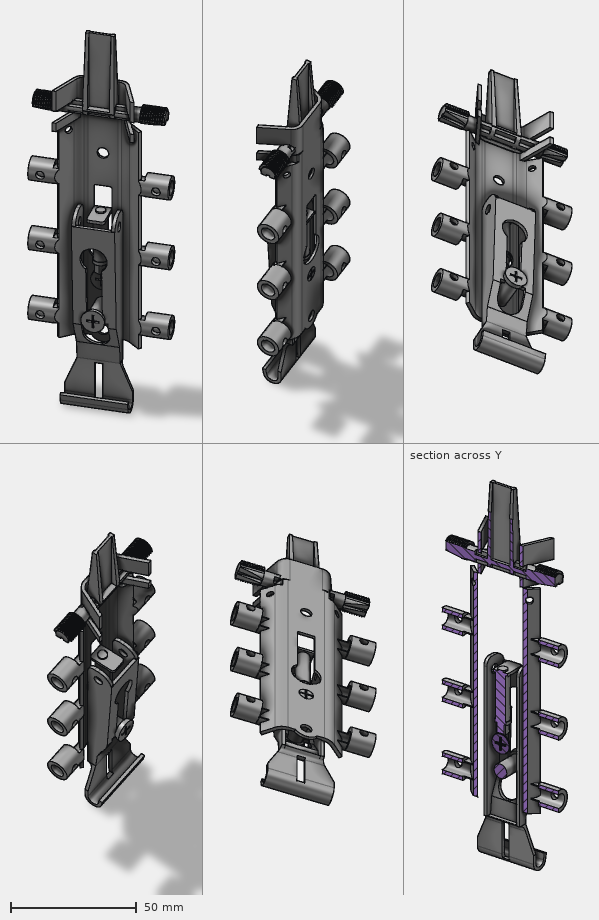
import cadquery as cq
import math

SHEET = 1.5
BACK_Y = 7.2
BACK_INNER_Y = BACK_Y - SHEET

CHANNEL_BOTTOM = -56.6
CHANNEL_TOP = 42.8
FLAT_HALF = 7.8
BEND_RADIUS = 7.2
BEND_ANGLE = 41.0
CHANNEL_HALF = 17.4
GROOVE_DEPTH = 0.3
GROOVE_FLOOR_Y = BACK_INNER_Y + GROOVE_DEPTH
GROOVE_FLOOR_HALF = 6.2
GROOVE_MOUTH_HALF = 7.8

CLIP_TOP = 61.4
CLIP_FRONT_Y = -8.3
CLIP_FLAT_HALF = 6.9
CLIP_NECK_HALF = 9.8
CLIP_ARM_BACK = 2.4
CLIP_BEND_RADIUS = 4.9
CLIP_BEND_ANGLE = 66.0
CLIP_SLOT_BOTTOM = 46.7
CLIP_SLOT_TOP = 52.1

HANG_HOLE_D = 4.7
HANG_HOLE_Z = 27.5
LUG_HOLE_Z = -53.6
LUG_RADIUS = 5.5
LEG_HOLE_D = 3.0
LEG_HOLE_Z = 37.8
LEG_HOLE_Y = 3.7
WINDOW_HALF = 3.7
WINDOW_TOP = 12.5
WINDOW_CORNER = 0.8
PASS_HOLE_D = 12.5
PASS_HOLE_Z = -15.8

SOCKET_Y = 3.7
SOCKET_D = 9.8
SOCKET_NECK_HALF = 3.5
SOCKET_NECK_BACK_Y = 3.7
SOCKET_ROOT = 13.5
SOCKET_BORE_D = 6.0
SOCKET_END = 29.0
SOCKET_SHOULDER = 18.9
SOCKET_PIN_D = 3.5
SOCKET_PIN_X = 24.0
SOCKET_TOP_Z = 17.4
SOCKET_PITCH = 32.0
SOCKET_ROWS = 3

AXIS_Y = 2.7
AXIS_Z = 49.5
BAR_D = 6.0
BAR_ROUND_START = 12.6
BAR_ARM = 2.0
KNOB_START = 17.2
KNOB_END = 27.3
KNOB_CORE_D = 6.5
RIDGE_D = 8.6
RIDGE_INSET = 0.2
RIDGE_WIDTH = 0.25
RIDGE_PITCH = 1.0
RIDGE_COUNT = 10
JAW_OUTER_DROP = 1.5
JAW_INNER_DROP = 3.0
JAW_GROOVE = 1.3
JAW_ROOF = 0.8
GRIP_TOP = 84.3
GRIP_TOP_HALF_X = 5.9
GRIP_TOP_HALF_Y = 1.0
GRIP_HALF_X = 6.5
GRIP_FLOOR = 1.0
GRIP_POCKET_HALF = 4.5
GRIP_HALF_Y = 3.4
GRIP_WEB = 1.2

LEVER_HALF = 9.0
LEVER_BACK_Y = 3.7
PIVOT_Y = -1.5
PIVOT_Z = -0.8
PIVOT_D = 4.0
HEAD_Y = -1.5
HEAD_Z = -1.2
HEAD_RADIUS = 6.5
HEAD_BACK_RADIUS = 3.4
WEB_TOP = 0.3
WEB_FRONT_Y = -8.3
KNEE_Y = -5.9
KNEE_Z = -45.5
FOOT_Y = -1.0
FOOT_Z = -56.5
PLATE_FRONT_Y = -0.25
PLATE_BACK_Y = PLATE_FRONT_Y + SHEET
FLANGE_END = -64.2
FLARE_RADIUS = 2.5
KEYHOLE_D = 11.1
KEYHOLE_Z = -14.5
KEYHOLE_SLOT = 6.5
OPENING_TOP = -43.5
OPENING_CENTER_Z = -50.7
HOOK_HALF = 14.0
HOOK_RADIUS = 4.0
HOOK_TOTAL_BOTTOM = -84.3
HOOK_WIDE_Z = -76.4
HOOK_TIP = 2.7
HOOK_LEAN = 11.0
HOOK_SLOT = 3.4
HOOK_SLOT_TOP = -65.5
HOOK_SLOT_BOTTOM = -82.1

ROD_Y = 3.0
ROD_D = 6.0
ROD_BOTTOM = -19.2
COLLAR_D = 6.5
COLLAR_BOTTOM = -20.7
HEX_FLATS = 4.5
HEX_BOTTOM = -25.1
YOKE_TOP = 2.5
YOKE_THICK = 1.3
YOKE_HALF = 3.7
YOKE_BACK_Y = 6.7
YOKE_FRONT_Y = -5.2
YOKE_CORNER = 1.3
STUB_D = 4.0
STUB_HEIGHT = 0.7

CROSS_WIDTH = 5.0
CROSS_HEIGHT = 5.5
CROSS_SLOT = 0.7
LOCK_Z = -41.8
LOCK_FRONT_Y = -8.6
LOCK_HEAD_Y = -6.4
LOCK_HEAD_D = 9.8
LOCK_UNDER_D = 9.0
LOCK_SHANK_D = 6.5
CROSS_DEPTH = 1.3
ANCHOR_Z = -29.7
ANCHOR_HEAD_D = 9.0
ANCHOR_SHANK_D = 6.0
ANCHOR_HEAD_HEIGHT = 2.0


def box(x0, x1, y0, y1, z0, z1):
    """Axis-aligned block between two corners."""
    return cq.Workplane("XY").box(x1 - x0, y1 - y0, z1 - z0, centered=False).translate((x0, y0, z0))


def cylinder_x(diameter, x0, x1, y, z):
    return cq.Workplane("YZ").center(y, z).circle(diameter / 2).extrude(x1 - x0).translate((x0, 0, 0))


def cylinder_y(diameter, y0, y1, z, x=0):
    """Round bar along Y from y0 to y1."""
    return cq.Workplane("XZ").center(x, z).circle(diameter / 2).extrude(y0 - y1).translate((0, y0, 0))


def cylinder_z(diameter, z0, z1, y):
    return cq.Workplane("XY").center(0, y).circle(diameter / 2).extrude(z1 - z0).translate((0, 0, z0))


def bend_points(flat_half, radius, angle, leg, inset):
    """Start, middle and end of one bend, and the leg end, at a depth below the rear face."""
    turn = math.radians(angle)
    arc = radius - inset

    def on_bend(a):
        return (flat_half + arc * math.sin(a), BACK_Y - radius + arc * math.cos(a))

    end = on_bend(turn)
    tip = (end[0] + leg * math.cos(turn), end[1] - leg * math.sin(turn))
    return on_bend(0), on_bend(turn / 2), end, tip


def bent_sheet(flat_half, radius, angle, leg, z0, z1):
    """Open channel: flat back, two bends and two straight legs, running along Z."""
    start, mid, end, tip = bend_points(flat_half, radius, angle, leg, 0)
    in_start, in_mid, in_end, in_tip = bend_points(flat_half, radius, angle, leg, SHEET)

    def left(p):
        return (-p[0], p[1])

    section = (
        cq.Workplane("XY").workplane(offset=z0)
        .moveTo(*left(start)).lineTo(*start)
        .threePointArc(mid, end).lineTo(*tip).lineTo(*in_tip).lineTo(*in_end)
        .threePointArc(in_mid, in_start).lineTo(*left(in_start))
        .threePointArc(left(in_mid), left(in_end))
        .lineTo(*left(in_tip)).lineTo(*left(tip)).lineTo(*left(end))
        .threePointArc(left(mid), left(start)).close()
    )
    return section.extrude(z1 - z0)


CHANNEL_LEG = (CHANNEL_HALF - FLAT_HALF - BEND_RADIUS * math.sin(math.radians(BEND_ANGLE))) / math.cos(
    math.radians(BEND_ANGLE))


CLIP_LEG = 20.2


def make_clip():
    """Steeper extension of the channel: a bent upper part and two flat arms below a snap-in slot."""
    sheet = bent_sheet(CLIP_FLAT_HALF, CLIP_BEND_RADIUS, CLIP_BEND_ANGLE, CLIP_LEG, CLIP_SLOT_BOTTOM, CLIP_TOP)
    neck = bent_sheet(FLAT_HALF, BEND_RADIUS, BEND_ANGLE, CHANNEL_LEG, CHANNEL_TOP, CLIP_SLOT_BOTTOM)
    neck = neck.intersect(box(-CLIP_NECK_HALF, CLIP_NECK_HALF, 0, BACK_Y, CHANNEL_TOP, CLIP_SLOT_BOTTOM))
    sheet = sheet.union(neck)

    turn = math.radians(CLIP_BEND_ANGLE)
    back_x = CLIP_ARM_BACK * math.cos(turn)
    back_y = CLIP_ARM_BACK * math.sin(turn)
    _, _, end, tip = bend_points(CLIP_FLAT_HALF, CLIP_BEND_RADIUS, CLIP_BEND_ANGLE, CLIP_LEG, 0)
    _, _, in_end, in_tip = bend_points(CLIP_FLAT_HALF, CLIP_BEND_RADIUS, CLIP_BEND_ANGLE, CLIP_LEG, SHEET)
    arm = (
        cq.Workplane("XY").workplane(offset=CHANNEL_TOP)
        .polyline([(end[0] - back_x, end[1] + back_y), tip, in_tip, (in_end[0] - back_x, in_end[1] + back_y)])
        .close().extrude(CLIP_SLOT_BOTTOM - CHANNEL_TOP)
    )
    sheet = sheet.union(arm).union(arm.mirror("YZ"))
    sheet = sheet.intersect(box(-33.7, 33.7, CLIP_FRONT_Y, BACK_Y, CHANNEL_TOP, CLIP_TOP))
    sheet = sheet.cut(cylinder_x(BAR_D, -33.7, 33.7, AXIS_Y, AXIS_Z))
    return sheet.cut(box(-33.7, 33.7, CLIP_FRONT_Y, AXIS_Y, CLIP_SLOT_BOTTOM, CLIP_SLOT_TOP))


def make_socket(side, z):
    """Tube whose narrowed neck runs into the leg and ends at the inner plane of the leg."""
    socket = cylinder_x(SOCKET_D, SOCKET_ROOT, SOCKET_END, SOCKET_Y, z)
    socket = socket.cut(cylinder_x(SOCKET_BORE_D, SOCKET_ROOT, SOCKET_END, SOCKET_Y, z))
    socket = socket.cut(cylinder_y(SOCKET_PIN_D, -16.9, 16.9, z, SOCKET_PIN_X))
    neck_space = box(0, SOCKET_SHOULDER, -16.9, SOCKET_NECK_BACK_Y, z - SOCKET_NECK_HALF, z + SOCKET_NECK_HALF)
    socket = socket.cut(box(0, SOCKET_SHOULDER, -16.9, 16.9, z - SOCKET_D, z + SOCKET_D).cut(neck_space))
    _, _, in_end, in_tip = bend_points(FLAT_HALF, BEND_RADIUS, BEND_ANGLE, 2 * CHANNEL_LEG, SHEET)
    inside = (
        cq.Workplane("XY").workplane(offset=z - SOCKET_D)
        .polyline([(0, BACK_Y), (FLAT_HALF, BACK_Y), in_end, in_tip, (0, in_tip[1])])
        .close().extrude(2 * SOCKET_D)
    )
    socket = socket.cut(inside)
    return socket if side > 0 else socket.mirror("YZ")


def make_channel():
    channel = bent_sheet(FLAT_HALF, BEND_RADIUS, BEND_ANGLE, CHANNEL_LEG, CHANNEL_BOTTOM, CHANNEL_TOP)
    channel = channel.union(make_clip())
    channel = channel.union(cylinder_y(2 * LUG_RADIUS, BACK_INNER_Y, BACK_Y, LUG_HOLE_Z))
    groove = (
        cq.Workplane("XY").workplane(offset=LUG_HOLE_Z - LUG_RADIUS)
        .polyline([(-GROOVE_MOUTH_HALF, BACK_INNER_Y), (-GROOVE_FLOOR_HALF, GROOVE_FLOOR_Y),
                   (GROOVE_FLOOR_HALF, GROOVE_FLOOR_Y), (GROOVE_MOUTH_HALF, BACK_INNER_Y)])
        .close().extrude(CLIP_SLOT_BOTTOM - LUG_HOLE_Z + LUG_RADIUS)
    )
    channel = channel.cut(groove)
    for z in (HANG_HOLE_Z, LUG_HOLE_Z):
        channel = channel.cut(cylinder_y(HANG_HOLE_D, 0, 16.9, z))
    window = box(-WINDOW_HALF, WINDOW_HALF, 0, 16.9, PASS_HOLE_Z, WINDOW_TOP).edges("|Y").fillet(WINDOW_CORNER)
    channel = channel.cut(window).cut(cylinder_y(PASS_HOLE_D, 0, 16.9, PASS_HOLE_Z))
    channel = channel.cut(cylinder_y(ANCHOR_SHANK_D, 0, 16.9, ANCHOR_Z))
    hole_x = CHANNEL_HALF - (LEG_HOLE_Y - 0.7) / math.tan(math.radians(BEND_ANGLE))
    for side in (-1, 1):
        turn = math.radians(BEND_ANGLE)
        drill = cq.Workplane(cq.Plane((side * hole_x, LEG_HOLE_Y, LEG_HOLE_Z), (0, 0, 1),
                                      (side * math.sin(turn), math.cos(turn), 0)))
        channel = channel.cut(drill.circle(LEG_HOLE_D / 2).extrude(3.4, both=True))
        for row in range(SOCKET_ROWS):
            channel = channel.union(make_socket(side, SOCKET_TOP_Z - row * SOCKET_PITCH))
    return channel


def make_knob():
    core = cylinder_x(KNOB_CORE_D, KNOB_START, KNOB_END, AXIS_Y, AXIS_Z)
    for i in range(RIDGE_COUNT):
        x = KNOB_START + RIDGE_INSET + i * RIDGE_PITCH
        core = core.union(cylinder_x(RIDGE_D, x, x + RIDGE_WIDTH, AXIS_Y, AXIS_Z))
    core = core.intersect(box(0, 33.7, -16.9, 16.9, AXIS_Z, 67.5))
    half = BAR_D / 2
    jaw = (
        cq.Workplane("XZ")
        .polyline([(KNOB_START, AXIS_Z), (KNOB_END, AXIS_Z), (KNOB_END, AXIS_Z - JAW_OUTER_DROP),
                   (KNOB_START, AXIS_Z - JAW_INNER_DROP)])
        .close().extrude(-2 * half).translate((0, AXIS_Y - half, 0))
    )
    jaw = jaw.intersect(cylinder_x(KNOB_CORE_D, KNOB_START, KNOB_END, AXIS_Y, AXIS_Z))
    jaw = jaw.cut(box(KNOB_START, KNOB_END, AXIS_Y - JAW_GROOVE / 2, AXIS_Y + JAW_GROOVE / 2,
                      AXIS_Z - JAW_INNER_DROP, AXIS_Z - JAW_ROOF))
    return core.union(jaw)


def make_handle():
    bar = cylinder_x(BAR_D, -KNOB_START, KNOB_START, AXIS_Y, AXIS_Z)
    arms = box(-33.7, 33.7, AXIS_Y - BAR_ARM / 2, AXIS_Y + BAR_ARM / 2, 0, 67.5)
    arms = arms.union(box(-33.7, 33.7, -16.9, 16.9, AXIS_Z - BAR_ARM / 2, AXIS_Z + BAR_ARM / 2))
    for x0, x1 in ((-BAR_ROUND_START, -GRIP_HALF_X), (-GRIP_POCKET_HALF, GRIP_POCKET_HALF),
                   (GRIP_HALF_X, BAR_ROUND_START)):
        bar = bar.cut(box(x0, x1, -16.9, 16.9, 0, 67.5).cut(arms))
    grip = (
        cq.Workplane("XY").workplane(offset=AXIS_Z).center(0, AXIS_Y).rect(2 * GRIP_HALF_X, 2 * GRIP_HALF_Y)
        .workplane(offset=GRIP_TOP - AXIS_Z).rect(2 * GRIP_TOP_HALF_X, 2 * GRIP_TOP_HALF_Y)
        .loft(ruled=True)
    )
    grip = grip.intersect(box(-33.7, 33.7, -16.9, BACK_INNER_Y, 0, GRIP_TOP))
    handle = bar.union(grip)
    web = box(-33.7, 33.7, AXIS_Y - GRIP_WEB / 2, AXIS_Y + GRIP_WEB / 2, 0, GRIP_TOP)
    pockets = box(-GRIP_POCKET_HALF, GRIP_POCKET_HALF, -16.9, 16.9, AXIS_Z + GRIP_FLOOR, GRIP_TOP).cut(web)
    knob = make_knob()
    return handle.cut(pockets).union(knob).union(knob.mirror("YZ"))


def lever_block(half):
    head_end_y = HEAD_Y - math.sqrt(HEAD_RADIUS**2 - (WEB_TOP - HEAD_Z) ** 2)
    top_z = HEAD_Z + HEAD_RADIUS
    slant = math.sqrt(0.5)
    outline = (
        cq.Workplane("YZ")
        .moveTo(LEVER_BACK_Y, FLANGE_END).lineTo(LEVER_BACK_Y, top_z - HEAD_BACK_RADIUS)
        .threePointArc((LEVER_BACK_Y - HEAD_BACK_RADIUS * (1 - slant), top_z - HEAD_BACK_RADIUS * (1 - slant)),
                       (LEVER_BACK_Y - HEAD_BACK_RADIUS, top_z))
        .lineTo(HEAD_Y, top_z)
        .threePointArc((HEAD_Y - HEAD_RADIUS * slant, HEAD_Z + HEAD_RADIUS * slant), (head_end_y, WEB_TOP))
        .lineTo(WEB_FRONT_Y, WEB_TOP)
        .lineTo(KNEE_Y, KNEE_Z).lineTo(FOOT_Y, FOOT_Z).lineTo(PLATE_FRONT_Y, FLANGE_END).close()
    )
    return outline.extrude(half, both=True)


def make_hook():
    cy = PLATE_BACK_Y - HOOK_RADIUS
    cz = HOOK_TOTAL_BOTTOM + HOOK_RADIUS
    lean = math.radians(HOOK_LEAN)
    inner = HOOK_RADIUS - SHEET

    def at(radius, along):
        return (cy - radius * math.cos(lean) - along * math.sin(lean),
                cz - radius * math.sin(lean) + along * math.cos(lean))

    strip = (
        cq.Workplane("YZ")
        .moveTo(PLATE_BACK_Y, FLANGE_END).lineTo(PLATE_BACK_Y, cz)
        .threePointArc((cy, cz - HOOK_RADIUS), at(HOOK_RADIUS, 0))
        .lineTo(*at(HOOK_RADIUS, HOOK_TIP)).lineTo(*at(inner, HOOK_TIP)).lineTo(*at(inner, 0))
        .threePointArc((cy, cz - inner), (PLATE_FRONT_Y, cz))
        .lineTo(PLATE_FRONT_Y, FLANGE_END).close().extrude(HOOK_HALF, both=True)
    )
    flare = (
        cq.Workplane("YZ").moveTo(LEVER_BACK_Y, FLANGE_END)
        .threePointArc((LEVER_BACK_Y - FLARE_RADIUS * math.sin(math.pi / 4),
                        FLANGE_END - FLARE_RADIUS * (1 - math.cos(math.pi / 4))),
                       (PLATE_BACK_Y, FLANGE_END - FLARE_RADIUS))
        .lineTo(PLATE_BACK_Y, FLANGE_END).close().extrude(HOOK_HALF, both=True)
    )
    outline = (
        cq.Workplane("XZ")
        .polyline([(-LEVER_HALF, FLANGE_END), (LEVER_HALF, FLANGE_END), (HOOK_HALF, HOOK_WIDE_Z),
                   (HOOK_HALF, -101.1), (-HOOK_HALF, -101.1), (-HOOK_HALF, HOOK_WIDE_Z)])
        .close().extrude(33.7, both=True)
    )
    flare = flare.cut(box(-LEVER_HALF + SHEET, LEVER_HALF - SHEET, -16.9, 16.9, -101.1, FLANGE_END))
    slot = box(-HOOK_SLOT / 2, HOOK_SLOT / 2, cy, 16.9, HOOK_SLOT_BOTTOM, HOOK_SLOT_TOP)
    return strip.union(flare).intersect(outline).cut(slot)


def make_lever():
    lever = lever_block(LEVER_HALF)
    room = lever_block(LEVER_HALF - SHEET).translate((0, SHEET, 0))
    room = room.union(box(-LEVER_HALF + SHEET, LEVER_HALF - SHEET, -16.9, 16.9, WEB_TOP, 16.9))
    lever = lever.cut(room)
    lever = lever.cut(cylinder_x(PIVOT_D, -33.7, 33.7, PIVOT_Y, PIVOT_Z))
    lever = lever.cut(cylinder_y(KEYHOLE_D, -16.9, 16.9, KEYHOLE_Z))
    lever = lever.cut(box(-KEYHOLE_SLOT / 2, KEYHOLE_SLOT / 2, -16.9, 16.9, OPENING_CENTER_Z, KEYHOLE_Z))
    lever = lever.cut(box(-KEYHOLE_D / 2, KEYHOLE_D / 2, -16.9, 16.9, OPENING_CENTER_Z, OPENING_TOP))
    lever = lever.cut(cylinder_y(KEYHOLE_D, -16.9, 16.9, OPENING_CENTER_Z))
    return lever.union(make_hook())


def make_rod():
    rod = cylinder_z(ROD_D, ROD_BOTTOM, YOKE_TOP, ROD_Y)
    rod = rod.union(cylinder_z(COLLAR_D, COLLAR_BOTTOM, ROD_BOTTOM, ROD_Y))
    hexagon = cq.Workplane("XY").polygon(6, HEX_FLATS / math.cos(math.pi / 6)).extrude(COLLAR_BOTTOM - HEX_BOTTOM)
    rod = rod.union(hexagon.rotate((0, 0, 0), (0, 0, 1), 90 / 3).translate((0, ROD_Y, HEX_BOTTOM)))
    yoke = box(-YOKE_HALF, YOKE_HALF, YOKE_FRONT_Y, YOKE_BACK_Y, YOKE_TOP - YOKE_THICK, YOKE_TOP)
    rod = rod.union(yoke.edges("|Z and <Y").fillet(YOKE_CORNER))
    return rod.union(cylinder_z(STUB_D, YOKE_TOP, YOKE_TOP + STUB_HEIGHT, ROD_Y))


def cross_recess(y0, y1, z):
    half = CROSS_SLOT / 2
    flat = box(-CROSS_WIDTH / 2, CROSS_WIDTH / 2, y0, y1, z - half, z + half)
    return flat.union(box(-half, half, y0, y1, z - CROSS_HEIGHT / 2, z + CROSS_HEIGHT / 2))


def make_lock_screw():
    head = (
        cq.Workplane("XZ").center(0, LOCK_Z).circle(LOCK_HEAD_D / 2)
        .workplane(offset=LOCK_FRONT_Y - LOCK_HEAD_Y).circle(LOCK_UNDER_D / 2).loft()
        .translate((0, LOCK_FRONT_Y, 0))
    )
    screw = head.union(cylinder_y(LOCK_SHANK_D, LOCK_HEAD_Y, GROOVE_FLOOR_Y, LOCK_Z))
    return screw.cut(cross_recess(LOCK_FRONT_Y, LOCK_FRONT_Y + CROSS_DEPTH, LOCK_Z))


def make_anchor_screw():
    front = GROOVE_FLOOR_Y - ANCHOR_HEAD_HEIGHT
    screw = cylinder_y(ANCHOR_HEAD_D, front, GROOVE_FLOOR_Y, ANCHOR_Z)
    screw = screw.union(cylinder_y(ANCHOR_SHANK_D, front, BACK_Y, ANCHOR_Z))
    return screw.cut(cross_recess(front, BACK_Y, ANCHOR_Z))


channel = make_channel()
handle = make_handle()
lever = make_lever()
rod = make_rod()
lock_screw = make_lock_screw()
anchor_screw = make_anchor_screw()
result = cq.Compound.makeCompound([b.val() for b in (channel, handle, lever, rod, lock_screw, anchor_screw)])